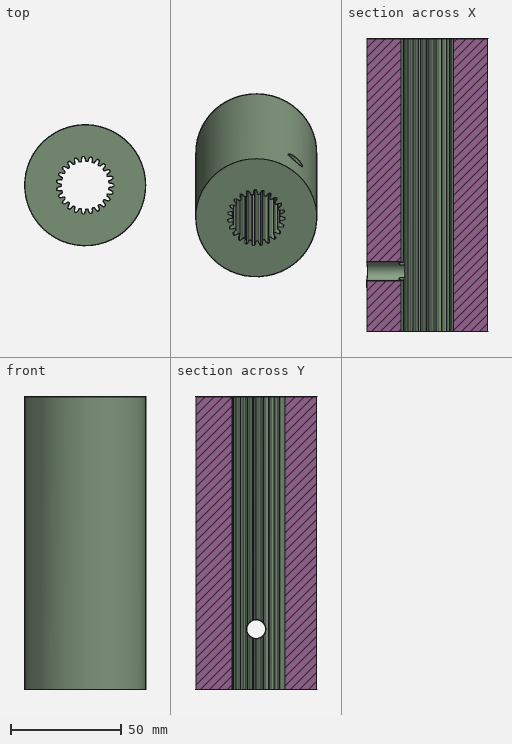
import cadquery as cq
import math

outer_diameter = 55.0
length = 133.0

tooth_count = 23
minor_diameter = 21.6
major_diameter = 26.0
groove_mouth_width = 1.8
groove_floor_width = 0.8
flank_bulge = 0.18
tooth_tip_fillet = 0.42

radial_hole_diameter = 8.53
radial_hole_height = 27.5

minor_radius = minor_diameter / 2
major_radius = major_diameter / 2
pitch_angle = 2 * math.pi / tooth_count


def turned(point, angle):
    """Point rotated about the sleeve axis."""
    x, y = point
    return (
        x * math.cos(angle) - y * math.sin(angle),
        x * math.sin(angle) + y * math.cos(angle),
    )


def make_body():
    """Plain cylinder standing on the XY plane."""
    return cq.Workplane("XY").circle(outer_diameter / 2).extrude(length)


def make_splined_bore():
    """Void of the bore: grooves with bowed flanks, the first on +X, and rounded teeth between."""
    half_mouth = groove_mouth_width / 2
    half_floor = groove_floor_width / 2
    mouth_x = math.sqrt(minor_radius**2 - half_mouth**2)
    floor_x = math.sqrt(major_radius**2 - half_floor**2)
    flank_x = (mouth_x + floor_x) / 2
    flank_y = (half_mouth + half_floor) / 2 + flank_bulge
    tooth_tip = turned((minor_radius, 0), pitch_angle / 2)
    next_mouth = turned((mouth_x, -half_mouth), pitch_angle)

    pitch_arcs = [
        ((flank_x, -flank_y), (floor_x, -half_floor)),
        ((major_radius, 0), (floor_x, half_floor)),
        ((flank_x, flank_y), (mouth_x, half_mouth)),
        (tooth_tip, next_mouth),
    ]
    outline = cq.Workplane("XY").moveTo(mouth_x, -half_mouth)
    for index in range(tooth_count):
        angle = index * pitch_angle
        for middle, end in pitch_arcs:
            outline = outline.threePointArc(turned(middle, angle), turned(end, angle))
    bore = outline.close().extrude(length)

    middle_radius = (minor_radius + major_radius) / 2
    tip_corners = bore.edges("|Z").filter(
        lambda edge: math.hypot(edge.Center().x, edge.Center().y) < middle_radius
    )
    return tip_corners.fillet(tooth_tip_fillet)


def make_radial_hole():
    """Cylinder along +Y, from the sleeve axis out through the wall."""
    return (
        cq.Workplane("XZ", origin=(0, 0, radial_hole_height))
        .circle(radial_hole_diameter / 2)
        .extrude(-outer_diameter / 2)
    )


result = make_body().cut(make_splined_bore()).cut(make_radial_hole())